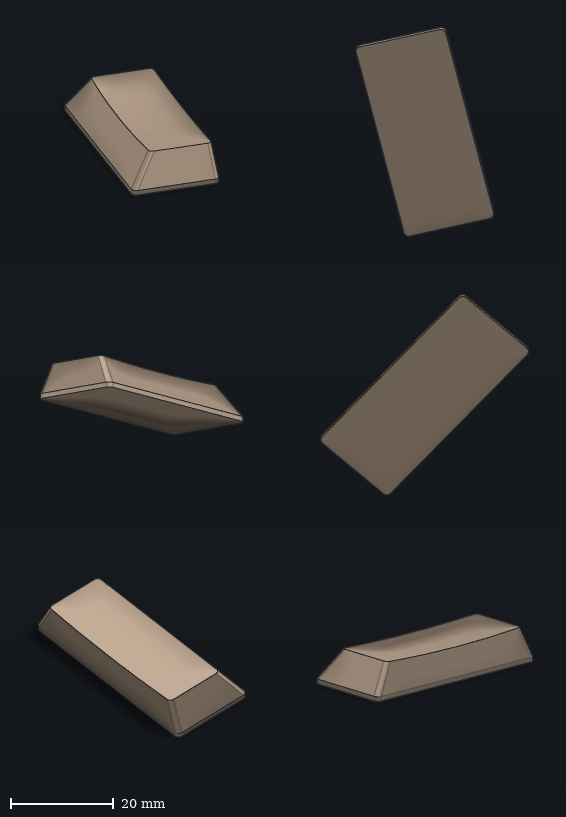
import cadquery as cq


base_length = 41.8
base_width = 18.0
base_corner_radius = 1.0
rim_height = 1.0

total_height = 7.5
side_inset = 3.0
front_inset = 4.55
back_inset = 0.6
top_corner_radius = 0.9

top_length = base_length - 2 * side_inset
top_width = base_width - front_inset - back_inset
top_center_y = (front_inset - back_inset) / 2
taper_height = total_height - rim_height

dish_depth = 0.6


def rounded_rectangle(length, width, radius):
    return cq.Sketch().rect(length, width).vertices().fillet(radius)


def make_rim():
    outline = rounded_rectangle(base_length, base_width, base_corner_radius)
    return cq.Workplane("XY").placeSketch(outline).extrude(rim_height)


def make_tapered_body():
    lower = rounded_rectangle(base_length, base_width, base_corner_radius)
    upper = rounded_rectangle(top_length, top_width, top_corner_radius)
    upper_place = cq.Location(cq.Vector(0, top_center_y, taper_height))
    return (
        cq.Workplane("XY", origin=(0, 0, rim_height))
        .placeSketch(lower, upper.moved(upper_place))
        .loft(ruled=True)
    )


def make_dish_cutter():
    return (
        cq.Workplane("XZ")
        .moveTo(-top_length / 2, total_height)
        .threePointArc((0, total_height - dish_depth), (top_length / 2, total_height))
        .close()
        .extrude(base_width, both=True)
    )


result = make_rim().union(make_tapered_body()).cut(make_dish_cutter())